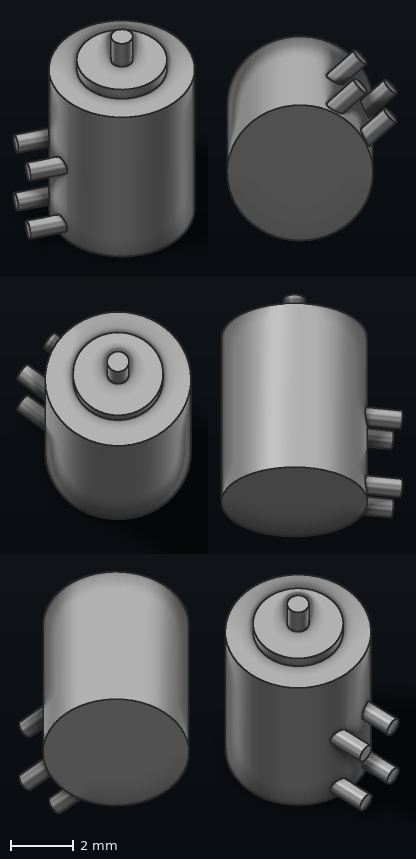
import cadquery as cq

total_height = 7.4
total_depth = 5.7

body_diameter = 4.7
body_height = 6.0
collar_diameter = 2.9
collar_height = 0.4
shaft_diameter = 0.7
shaft_length = total_height - body_height - collar_height

pin_diameter = 0.6
pin_spacing_x = 1.405
lower_pin_height = 0.5
upper_pin_height = body_height / 2
pin_tip_distance = total_depth - body_diameter / 2


def terminal_pin(x, z):
    """Pin running from the plane of the body axis out to its tip at -Y."""
    pin_plane = cq.Workplane("XZ", origin=(x, 0, z))
    return pin_plane.circle(pin_diameter / 2).extrude(pin_tip_distance)


result = (
    cq.Workplane("XY")
    .circle(body_diameter / 2)
    .extrude(body_height)
    .faces(">Z")
    .workplane()
    .circle(collar_diameter / 2)
    .extrude(collar_height)
    .faces(">Z")
    .workplane()
    .circle(shaft_diameter / 2)
    .extrude(shaft_length)
)

for pin_x in (-pin_spacing_x / 2, pin_spacing_x / 2):
    for pin_z in (lower_pin_height, upper_pin_height):
        result = result.union(terminal_pin(pin_x, pin_z))